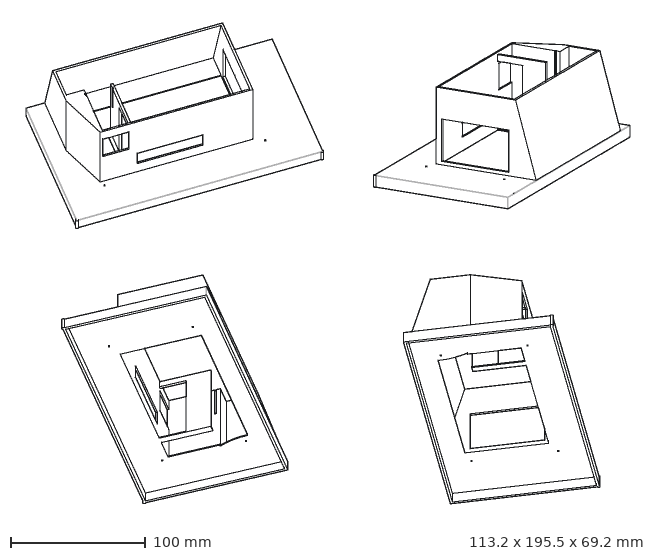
import cadquery as cq

total_length = 195.5
total_width = 113.2
total_height = 69.2
corner_overhang = 0.5
corner_radius = 1.2
plate_length = total_length - 2 * corner_overhang
plate_width = total_width - corner_overhang
plate_height = 9.2
edge_round = 0.3

sheet_thickness = 1.0
rim_thickness = 2.0
sheet_bottom = plate_height - sheet_thickness

wall = 2.0
right_wall = 1.4
housing_top_left = 17.5
housing_right = 84.3
housing_back = 51.8
housing_front = -82.3
cut_corner_x = 47.9
cut_corner_y = -68.5
inner_right = housing_right - right_wall
inner_back = housing_back - wall
inner_front = housing_front + wall

block_left = 42.6
block_back = -66.3
partition_back = -43.4
partition_thickness = 2.2
partition_front = partition_back - partition_thickness
partition_top = 67.3
partition_sill_front = -48.3
block_sill_back = -64.3
groove_x = 46.0
groove_width = 1.4
groove_depth = 0.8
groove_bottom = 44.8

opening_left = housing_top_left + wall
arc_start_y = -61.0
arc_mid_x = 31.7
arc_mid_y = -62.2
arc_end_y = -65.5

back_window_left = 23.5
back_window_right = 79.8
back_window_bottom = 12.0
back_window_top = 45.0
side_window_front = -39.1
side_window_back = 12.7
side_window_bottom = 19.0
side_window_top = 31.0
upper_window_bottom = 39.1
upper_window_top = 59.8
partition_window_left = 62.0
partition_window_top = 62.0

pin_diameter = 1.0
pin_xs = (22.7, 88.2)
pin_ys = (-66.5, 60.2)


def box(x0, x1, y0, y1, z0, z1):
    """Axis-aligned box between two opposite corners."""
    return cq.Workplane("XY").box(x1 - x0, y1 - y0, z1 - z0, centered=False).translate((x0, y0, z0))


def sloped_prism(bottom_left, top_left, right, front, back):
    """Prism standing on the plate, with its left side leaning to the right."""
    return (
        cq.Workplane("XZ", origin=(0, back, 0))
        .moveTo(bottom_left, plate_height)
        .lineTo(right, plate_height)
        .lineTo(right, total_height)
        .lineTo(top_left, total_height)
        .close()
        .extrude(back - front)
    )


def make_plate():
    plate = box(0, plate_width, -plate_length / 2, plate_length / 2, 0, plate_height)
    plate = plate.edges("|Z and <X").fillet(edge_round).faces(">Z").edges().fillet(edge_round)
    hollow = box(
        rim_thickness, plate_width - rim_thickness,
        rim_thickness - plate_length / 2, plate_length / 2 - rim_thickness,
        0, sheet_bottom,
    )
    inset = corner_radius - corner_overhang
    corner_x = plate_width - inset
    corner_y = plate_length / 2 - inset
    corners = (
        cq.Workplane("XY")
        .pushPoints([(corner_x, -corner_y), (corner_x, corner_y)])
        .circle(corner_radius)
        .extrude(plate_height)
    )
    opening = (
        cq.Workplane("XY")
        .moveTo(opening_left, inner_back)
        .lineTo(opening_left, arc_start_y)
        .threePointArc((arc_mid_x, arc_mid_y), (block_left, arc_end_y))
        .lineTo(block_left, block_sill_back)
        .lineTo(inner_right, block_sill_back)
        .lineTo(inner_right, inner_back)
        .close()
        .extrude(plate_height)
    )
    return plate.union(corners).cut(hollow).cut(opening)


def make_housing():
    outer = sloped_prism(edge_round, housing_top_left, housing_right, housing_front, housing_back)
    inner = sloped_prism(edge_round + wall, opening_left, inner_right, inner_front, inner_back)
    block = box(block_left, inner_right, inner_front, block_back, plate_height, total_height)
    cut_corner = (
        cq.Workplane("XY", origin=(0, 0, plate_height))
        .moveTo(cut_corner_x, housing_front)
        .lineTo(housing_right, housing_front)
        .lineTo(housing_right, cut_corner_y)
        .close()
        .extrude(total_height - plate_height)
    )
    return outer.cut(inner).union(block).cut(cut_corner)


def make_partition():
    panel = box(block_left, inner_right, partition_front, partition_back, sheet_bottom, partition_top)
    sill = box(block_left, inner_right, partition_sill_front, partition_back, sheet_bottom, plate_height)
    window = box(
        partition_window_left, inner_right, partition_front, partition_back, plate_height, partition_window_top
    )
    return panel.cut(window).union(sill)


def make_groove(front, back):
    """Upright groove, open at the top."""
    return box(groove_x, groove_x + groove_width, front, back, groove_bottom, total_height)


def make_wall_windows():
    back = box(
        back_window_left, back_window_right, inner_back, housing_back, back_window_bottom, back_window_top
    )
    side = box(
        inner_right, housing_right, side_window_front, side_window_back, side_window_bottom, side_window_top
    )
    upper = box(
        inner_right, housing_right, block_back, partition_front, upper_window_bottom, upper_window_top
    )
    return back.union(side).union(upper)


def make_pin_holes():
    centres = [(x, y) for x in pin_xs for y in pin_ys]
    return cq.Workplane("XY").pushPoints(centres).circle(pin_diameter / 2).extrude(plate_height)


result = (
    make_plate()
    .union(make_housing())
    .union(make_partition())
    .cut(make_groove(partition_front, partition_front + groove_depth))
    .cut(make_groove(block_back - groove_depth, block_back))
    .cut(make_wall_windows())
    .cut(make_pin_holes())
)